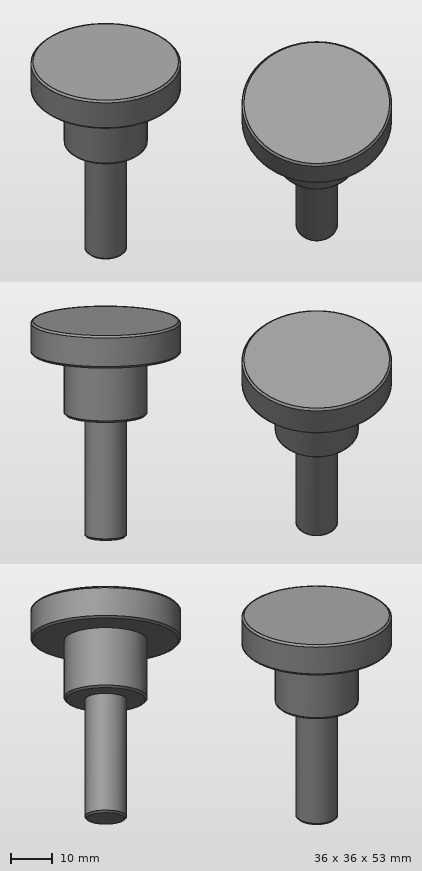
import cadquery as cq

total_height = 53.0
head_diameter = 36.0
head_height = 8.0
collar_diameter = 20.0
collar_height = 15.0
stem_diameter = 10.0
edge_chamfer = 0.5

stem_length = total_height - head_height - collar_height
collar_base = stem_length
head_base = collar_base + collar_height


def cylinder(diameter, height, base):
    """Upright cylinder on the Z axis with its lower face at base."""
    return cq.Workplane("XY").workplane(offset=base).circle(diameter / 2).extrude(height)


head = cylinder(head_diameter, head_height, head_base).edges().chamfer(edge_chamfer)
collar = cylinder(collar_diameter, collar_height, collar_base).faces("<Z").edges().chamfer(edge_chamfer)
stem = cylinder(stem_diameter, stem_length, 0).faces("<Z").edges().chamfer(edge_chamfer)

result = head.union(collar).union(stem)